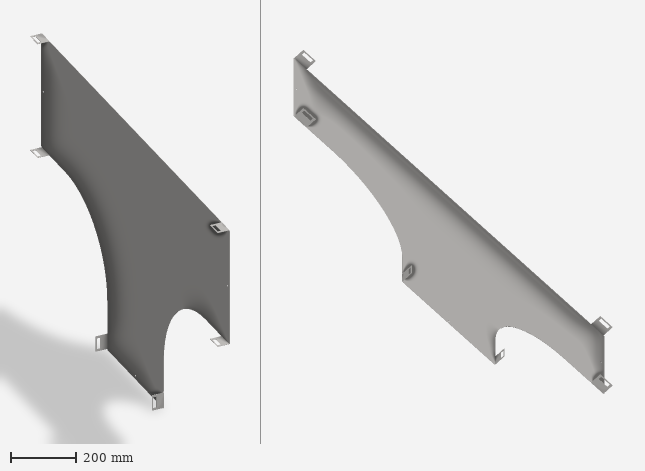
import cadquery as cq
import math

length = 1346.0
height = 874.0
branch_width = 402.0
corner_radius = 300.0
sheet = 1.0
hole_diameter = 6.5
hole_inset = 13.0

tab_depth = 40.0
tab_length = 54.0
tab_inset = 3.4
relief_width = tab_inset
relief_depth = 3.0

slot_width = 11.0
strip_width = 4.0
slot_end_margin = 8.0
slot_length = tab_length - 2 * slot_end_margin

half_length = length / 2
half_width = branch_width / 2
arm_bottom = height - branch_width
tab_reach = tab_depth - sheet


def box(x_range, y_range, z_range):
    """Box between the given lower and upper limits on each axis."""
    size = [high - low for low, high in (x_range, y_range, z_range)]
    corner = (x_range[0], y_range[0], z_range[0])
    return cq.Workplane("XY").box(*size, centered=False).translate(corner)


def make_plate():
    """Tee outline with a concave quarter circle in each inner corner."""
    mid = corner_radius * (1 - math.cos(math.pi / 4))
    arc_x = half_width + corner_radius
    arc_z = arm_bottom - corner_radius
    return (
        cq.Workplane("XZ")
        .moveTo(-half_width, 0)
        .lineTo(half_width, 0)
        .lineTo(half_width, arc_z)
        .threePointArc((half_width + mid, arm_bottom - mid), (arc_x, arm_bottom))
        .lineTo(half_length, arm_bottom)
        .lineTo(half_length, height)
        .lineTo(-half_length, height)
        .lineTo(-half_length, arm_bottom)
        .lineTo(-arc_x, arm_bottom)
        .threePointArc((-half_width - mid, arm_bottom - mid), (-half_width, arc_z))
        .close()
        .extrude(-sheet)
    )


def make_tab():
    """Slotted tab with its outer end on X = 0 and its outward face on Z = 0."""
    thickness = (-sheet, 0)
    tab = box((0, tab_length), (-tab_reach, sheet), thickness)
    slot_start = -tab_reach + strip_width
    slot_end = slot_end_margin + slot_length
    slot = box((slot_end_margin, slot_end), (slot_start, slot_start + slot_width), thickness)
    return tab.cut(slot)


def make_reliefs():
    """Notches in the plate at both ends of a tab."""
    across = (0, sheet)
    depth = (-relief_depth, 0)
    outer = box((-relief_width, 0), across, depth)
    inner = box((tab_length, tab_length + relief_width), across, depth)
    return outer.union(inner)


def place(shape):
    """Copies of a tab or its reliefs at the six tab places."""
    top = shape.translate((tab_inset - half_length, 0, height))
    bottom = shape.mirror("XY").translate((tab_inset - half_length, 0, arm_bottom))
    stem = shape.rotate((0, 0, 0), (0, 1, 0), -90).translate((-half_width, 0, tab_inset))
    left = [top, bottom, stem]
    return left + [piece.mirror("YZ") for piece in left]


def make_holes():
    """Fixing holes near the middle of the three branch ends."""
    arm_middle = height - half_width
    arm_hole = half_length - hole_inset
    centres = [(-arm_hole, arm_middle), (arm_hole, arm_middle), (0, hole_inset)]
    return cq.Workplane("XZ").pushPoints(centres).circle(hole_diameter / 2).extrude(-sheet)


result = make_plate().cut(make_holes())
for reliefs in place(make_reliefs()):
    result = result.cut(reliefs)
for tab in place(make_tab()):
    result = result.union(tab)